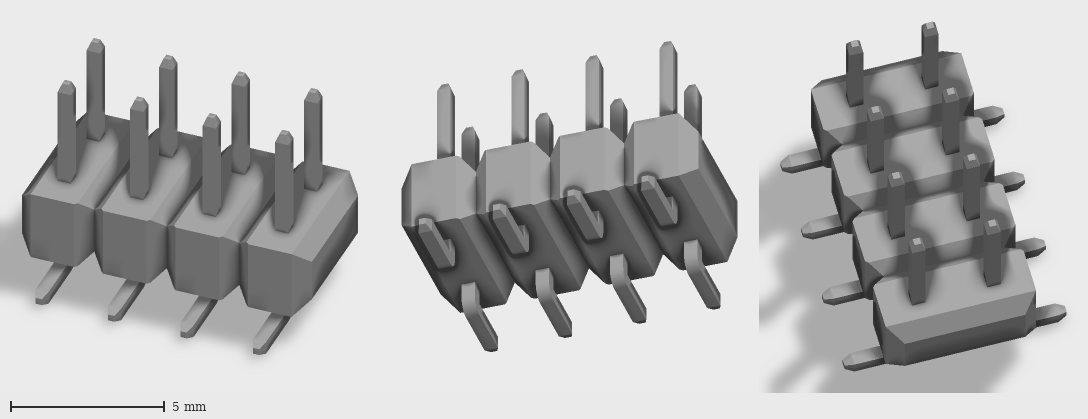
import cadquery as cq
import math

columns = 4
housing_length = 10.16
pitch = housing_length / columns
row_sides = (-1, 1)
row_offset = pitch / 2
overall_width = 7.5

standoff = 1.01
housing_height = 2.5
pin_top = 7.33
housing_top = standoff + housing_height

housing_width = 2 * pitch
end_bevel = 0.51
side_groove = 0.51
flat_groove = 0.42

pin_size = 0.46
bend_radius = pin_size
tip_length = 0.3
tip_inset = pin_size / 4
tip_angle = math.degrees(math.atan2(tip_inset, tip_length))

column_centres = [(column + 0.5) * pitch - housing_length / 2 for column in range(columns)]
column_seams = [seam * pitch - housing_length / 2 for seam in range(1, columns)]


def side_groove_cutter(x, side):
    """V-shaped cutter running up one long side of the housing."""
    face = side * housing_width / 2
    return (
        cq.Workplane("XY", origin=(0, 0, standoff))
        .moveTo(x - side_groove, face)
        .lineTo(x, face - side * side_groove)
        .lineTo(x + side_groove, face)
        .close()
        .extrude(housing_height)
    )


def flat_groove_cutter(x, face, inward):
    """V-shaped cutter across the top or bottom face at height `face`; `inward` is +1 or -1 along Z."""
    return (
        cq.Workplane("XZ")
        .moveTo(x - flat_groove, face)
        .lineTo(x, face + inward * flat_groove)
        .lineTo(x + flat_groove, face)
        .close()
        .extrude(housing_width / 2, both=True)
    )


def make_housing():
    """Bevelled block, grooved between columns, with a square hole for every pin."""
    block = (
        cq.Workplane("XY", origin=(0, 0, standoff))
        .box(housing_length, housing_width, housing_height, centered=(True, True, False))
        .faces("<X or >X")
        .edges()
        .chamfer(end_bevel)
    )
    for x in column_seams:
        for side in row_sides:
            block = block.cut(side_groove_cutter(x, side))
        block = block.cut(flat_groove_cutter(x, housing_top, -1))
        block = block.cut(flat_groove_cutter(x, standoff, 1))
    pin_holes = (
        cq.Workplane("XY", origin=(0, 0, standoff))
        .rarray(pitch, 2 * row_offset, columns, len(row_sides))
        .rect(pin_size, pin_size)
        .extrude(housing_height)
    )
    return block.cut(pin_holes)


def add_tip(pin, end):
    """Extend the end face picked by the selector `end` with a tapered tip."""
    return (
        pin.faces(end)
        .workplane(centerOption="CenterOfMass")
        .rect(pin_size, pin_size)
        .extrude(tip_length, taper=tip_angle)
    )


def make_pin(x, side):
    """Square pin bent outwards into a flat foot, with a tapered tip at both ends."""
    inner_face = side * (row_offset - pin_size / 2)
    outer_face = side * (row_offset + pin_size / 2)
    foot_end = side * (overall_width / 2 - tip_length)
    shaft_top = pin_top - tip_length
    bent_bar = (
        cq.Workplane("YZ", origin=(x, 0, 0))
        .moveTo(inner_face, shaft_top)
        .lineTo(outer_face, shaft_top)
        .lineTo(outer_face, pin_size)
        .lineTo(foot_end, pin_size)
        .lineTo(foot_end, 0)
        .lineTo(inner_face + side * bend_radius, 0)
        .radiusArc((inner_face, bend_radius), side * bend_radius)
        .close()
        .extrude(pin_size / 2, both=True)
    )
    foot_face = ">Y" if side > 0 else "<Y"
    return add_tip(add_tip(bent_bar, ">Z"), foot_face)


housing = make_housing().solids()
pins = [make_pin(x, side).solids().val() for x in column_centres for side in row_sides]

result = cq.Compound.makeCompound([housing.val(), *pins])